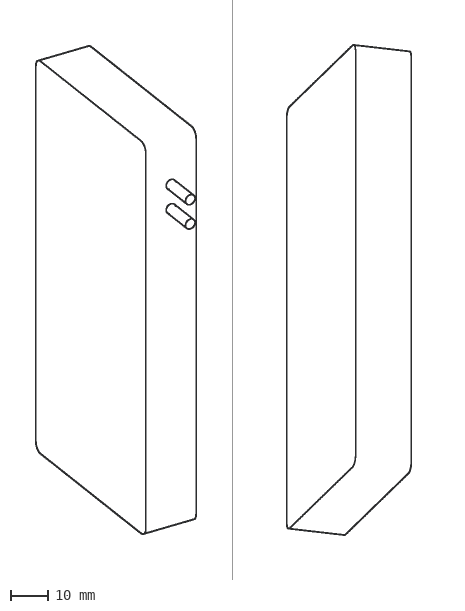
import cadquery as cq

overall_length = 67.2
case_depth = 15.9
case_height = 120.6
corner_radius = 2.5

pin_diameter = 3.0
pin_length = 10.0
top_to_first_pin = 14.5
pin_spacing = 7.5
pin_count = 2

case_width = overall_length - pin_length
pin_base_x = case_width / 2
first_pin_z = case_height / 2 - top_to_first_pin


def make_case():
    """Flat box with its four depth-wise edges rounded."""
    return cq.Workplane("XY").box(case_width, case_depth, case_height).edges("|Y").fillet(corner_radius)


def make_pin(center_z):
    """Round pin seated flat on the +X side of the case, at mid-depth."""
    return (
        cq.Workplane("YZ", origin=(pin_base_x, 0, center_z))
        .circle(pin_diameter / 2)
        .extrude(pin_length)
    )


case = make_case()
pins = [make_pin(first_pin_z - index * pin_spacing) for index in range(pin_count)]

result = cq.Compound.makeCompound([case.val(), *[pin.val() for pin in pins]])